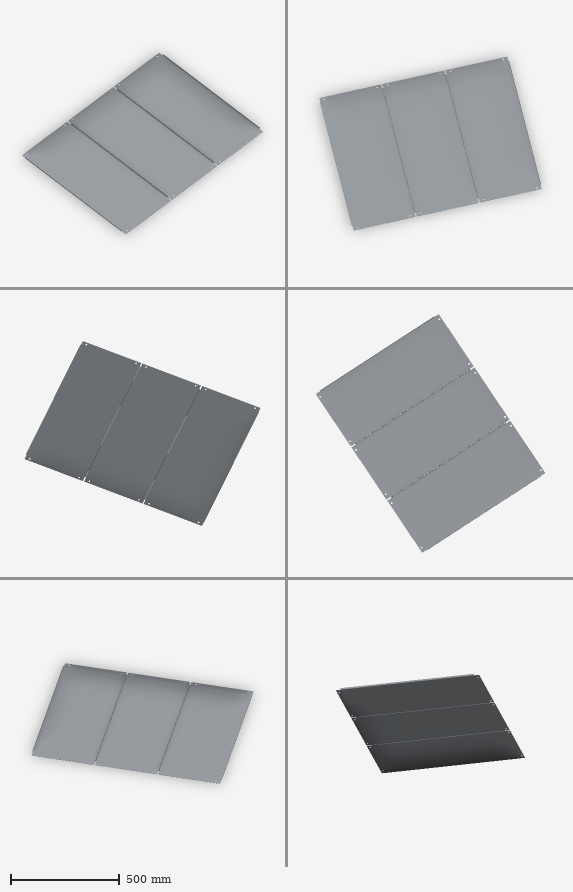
import cadquery as cq

panel_count = 3
row_length = 898.0
lip_gap = 2.0
panel_length = 682.0
panel_width = (row_length - (panel_count - 1) * lip_gap) / panel_count
panel_pitch = panel_width + lip_gap

sheet_thickness = 1.0
bend_inner_radius = 1.3
bend_outer_radius = bend_inner_radius + sheet_thickness
lip_height = 8.0
lip_end_inset = 23.0
lip_length = panel_length - 2 * lip_end_inset
tab_width = panel_width - 2 * bend_outer_radius

hole_diameter = 8.0
hole_inset_x = 11.0
hole_spacing_y = 250.0


def make_sheet():
    """Flat sheet centred on the origin with its underside at Z = 0."""
    return cq.Workplane("XY").box(
        panel_length, tab_width, sheet_thickness, centered=(True, True, False)
    )


def make_lip():
    """Rounded bend and upright lip along the +Y edge."""
    bend_start = tab_width / 2
    outer_face = panel_width / 2
    inner_face = outer_face - sheet_thickness
    return (
        cq.Workplane("YZ", origin=(-lip_length / 2, 0, 0))
        .moveTo(bend_start, 0)
        .radiusArc((outer_face, bend_outer_radius), -bend_outer_radius)
        .lineTo(outer_face, lip_height)
        .lineTo(inner_face, lip_height)
        .lineTo(inner_face, bend_outer_radius)
        .radiusArc((bend_start, sheet_thickness), bend_inner_radius)
        .close()
        .extrude(lip_length)
    )


def make_panel(center_y):
    """One panel: sheet, a lip on each long edge and four corner holes."""
    lip = make_lip()
    panel = make_sheet().union(lip).union(lip.mirror("XZ"))
    hole_cutters = (
        cq.Workplane("XY")
        .rect(panel_length - 2 * hole_inset_x, hole_spacing_y, forConstruction=True)
        .vertices()
        .circle(hole_diameter / 2)
        .extrude(sheet_thickness)
    )
    return panel.cut(hole_cutters).translate((0, center_y, 0))


panels = []
for index in range(panel_count):
    center_y = (index - (panel_count - 1) / 2) * panel_pitch
    panels.append(make_panel(center_y).val())

result = cq.Compound.makeCompound(panels)